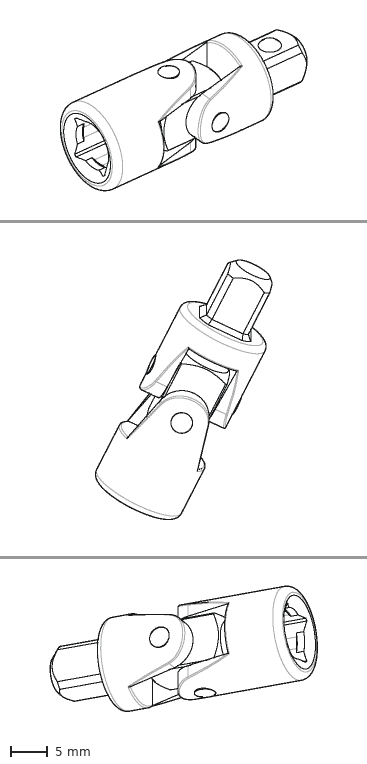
import cadquery as cq
import math


body_diameter = 12.95
body_radius = body_diameter / 2
overall_length = 36.07
drive_tip_y = 20.05
socket_end_y = drive_tip_y - overall_length

pin_offset = 1.9
pin_diameter = 2.92
pin_hole_diameter = 2.92
block_width = 7.1
block_length = 11.42
block_corner_radius = 4.85
block_end_radius = 3.3
block_cone_angle = 30

slot_width = 7.25
prong_tip_radius = 3.695
prong_taper = 14
drive_fork_depth = 5.72
socket_fork_depth = 5.85
prong_root_depth = 0.8
fork_edge_fillet = 0.22

drive_width = 6.3
drive_corner_radius = 3.92
drive_tip_radius = 2.56
drive_head_y = 11.46
drive_head_fillet = 0.8
neck_height = 0.7
ball_radius = 1.86
ball_height = 0.88
ball_y = drive_tip_y - 4.43

socket_rim_fillet = 1.0
socket_square = 6.44
socket_square_chamfer = 0.3
socket_mouth_radius = 5.07
socket_cone_depth = 0.9
socket_counterbore_radius = 3.53
socket_counterbore_depth = 2.0
socket_bore_radius = 3.33


def revolve_about_y(profile):
    """Turn a closed (radius, y) profile about the Y axis."""
    return cq.Workplane("XY").polyline(profile).close().revolve(360, (0, 0, 0), (0, 1, 0))


def cylinder_along_y(radius, y_start, y_end):
    return revolve_about_y([(0, y_start), (radius, y_start), (radius, y_end), (0, y_end)])


def box_along_y(width, y_start, y_end):
    return cq.Workplane("XY").box(width, y_end - y_start, width).translate((0, (y_start + y_end) / 2, 0))


def pin_along_z(diameter, y):
    return cq.Workplane("XY").center(0, y).circle(diameter / 2).extrude(body_radius, both=True)


def fork(base_y, pin_y, depth, base_fillet):
    """Round body from base_y whose two prongs point to +Y and carry a pin along Z."""
    taper = math.radians(prong_taper)
    step_y = pin_y - depth
    root_y = step_y - prong_root_depth
    tip_y = pin_y + prong_tip_radius
    flank_x = prong_tip_radius * math.cos(taper)
    flank_y = pin_y + prong_tip_radius * math.sin(taper)
    root_x = flank_x + (flank_y - root_y) * math.tan(taper)

    base = (
        cylinder_along_y(body_radius, base_y, step_y)
        .faces("<Y").edges().fillet(base_fillet)
        .faces(">Y").edges().fillet(fork_edge_fillet)
    )
    outline = (
        cq.Workplane("XY")
        .moveTo(-root_x, root_y)
        .lineTo(root_x, root_y)
        .lineTo(flank_x, flank_y)
        .threePointArc((0, tip_y), (-flank_x, flank_y))
        .close()
        .extrude(body_diameter)
        .translate((0, 0, slot_width / 2))
    )
    prong = cylinder_along_y(body_radius, root_y, tip_y).intersect(outline)
    rim = [edge for edge in prong.edges().vals() if edge.geomType() in ("ELLIPSE", "BSPLINE")]
    prong = prong.newObject(rim).fillet(fork_edge_fillet)
    body = base.union(prong).union(prong.mirror("XY"))
    return body.cut(pin_along_z(pin_hole_diameter, pin_y))


def turn_to_drive_side(shape):
    """Point a fork built towards +Y to -Y and lay its pin along X."""
    return shape.rotate((0, 0, 0), (0, 0, 1), 180).rotate((0, 0, 0), (0, 1, 0), 90)


def make_cross():
    half_length = block_length / 2
    cone_length = (block_corner_radius - block_end_radius) * math.tan(math.radians(block_cone_angle))
    turned = revolve_about_y([
        (0, -half_length),
        (block_end_radius, -half_length),
        (block_corner_radius, cone_length - half_length),
        (block_corner_radius, half_length - cone_length),
        (block_end_radius, half_length),
        (0, half_length),
    ])
    block = box_along_y(block_width, -half_length, half_length).intersect(turned)
    socket_pin = pin_along_z(pin_diameter, -pin_offset)
    drive_pin = turn_to_drive_side(socket_pin)
    return block.union(socket_pin).union(drive_pin)


def make_drive():
    head = turn_to_drive_side(fork(-drive_head_y, -pin_offset, drive_fork_depth, drive_head_fillet))
    cone_length = drive_corner_radius - drive_tip_radius
    neck_y = drive_head_y + neck_height
    turned = revolve_about_y([
        (0, drive_head_y),
        (drive_corner_radius + neck_height, drive_head_y),
        (drive_corner_radius, neck_y),
        (drive_corner_radius, drive_tip_y - cone_length),
        (drive_tip_radius, drive_tip_y),
        (0, drive_tip_y),
    ])
    flare = (
        cq.Workplane("XZ", origin=(0, drive_head_y, 0))
        .rect(drive_width + 2 * neck_height, drive_width + 2 * neck_height)
        .workplane(offset=-neck_height)
        .rect(drive_width, drive_width)
        .loft(ruled=True)
    )
    square = box_along_y(drive_width, drive_head_y, drive_tip_y).union(flare).intersect(turned)
    ball_z = drive_width / 2 + ball_height - ball_radius
    ball = cq.Workplane("XY").sphere(ball_radius).translate((0, ball_y, ball_z))
    return head.union(square).union(ball)


def make_socket():
    body = fork(socket_end_y, -pin_offset, socket_fork_depth, socket_rim_fillet)
    floor_y = -pin_offset - socket_fork_depth
    cone_end_y = socket_end_y + socket_cone_depth
    counterbore_y = socket_end_y + socket_counterbore_depth
    bore = revolve_about_y([
        (0, socket_end_y),
        (socket_mouth_radius, socket_end_y),
        (socket_counterbore_radius, cone_end_y),
        (socket_counterbore_radius, counterbore_y),
        (socket_bore_radius, counterbore_y),
        (socket_bore_radius, floor_y),
        (0, floor_y),
    ])
    square = box_along_y(socket_square, socket_end_y, floor_y).edges("|Y").chamfer(socket_square_chamfer)
    return body.cut(bore).cut(square)


cross = make_cross()
drive = make_drive()
socket = make_socket()
result = cq.Compound.makeCompound([cross.val(), drive.val(), socket.val()])